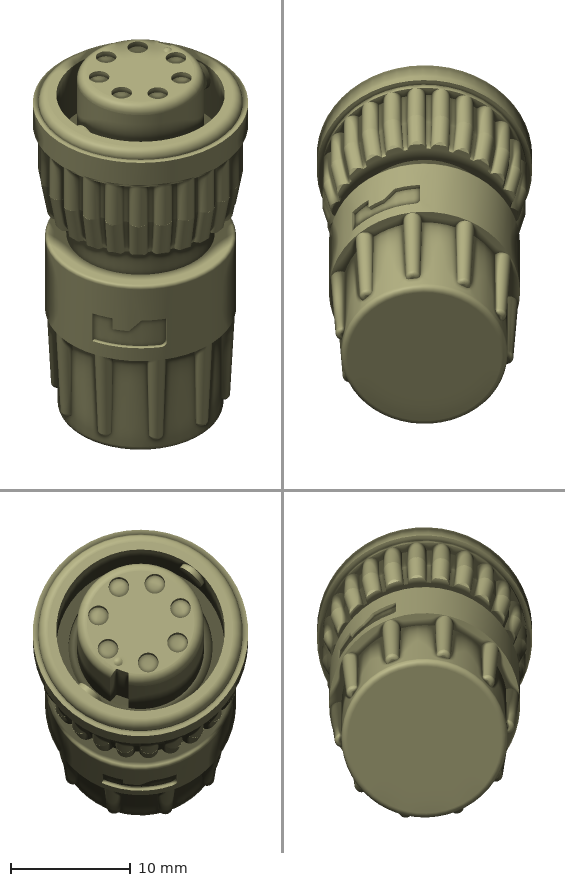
import cadquery as cq
import math


TAIL_RADIUS = 6.95
TAIL_EDGE_ROUND = 0.5
COLLAR_RADIUS = 8.0
COLLAR_BOTTOM = 9.9
COLLAR_TOP = 17.45
COLLAR_EDGE_ROUND = 0.3
NECK_RADIUS = 6.22

RIB_COUNT = 10
RIB_FIRST_ANGLE = -89.0
RIB_BOTTOM = 1.4
RIB_TOP_RADIUS = 0.79
RIB_BOTTOM_RADIUS = 0.6
RIB_TOP_REACH = 7.95
RIB_BOTTOM_REACH = 7.53
RIB_TIP_ROUND = 0.35

RECESS_COUNT = 2
RECESS_FLOOR_RADIUS = COLLAR_RADIUS - 0.35
RECESS_BOTTOM = 11.2
RECESS_TOP = 14.0
RECESS_TOOTH_BOTTOM = 12.9
RECESS_START_ANGLE = -4.2
TOOTH_START_ANGLE = 9.1
TOOTH_RAMP_ANGLE = 19.2
TOOTH_END_ANGLE = 26.8
RECESS_END_ANGLE = 42.3
RECESS_CORNER_ROUND = 0.5

NUT_BOTTOM = 20.5
NUT_TAPER_TOP = 23.85
NUT_FLUTE_TOP = 27.9
FLANGE_BOTTOM = 28.4
FLANGE_TOP = 30.65
FLANGE_RADIUS = 18.03 / 2
NUT_RADIUS = 8.56
NUT_BOTTOM_RADIUS = 7.95
NUT_BOTTOM_CHAMFER = 0.15
RIM_TOP = 31.45
RIM_ROUND = RIM_TOP - FLANGE_TOP
BORE_RADIUS = 7.05
BORE_FLOOR = 26.4

FLUTE_COUNT = 24
FLUTE_FIRST_ANGLE = -5.0
FLUTE_RADIUS = 0.8
FLUTE_CORE_RADIUS = 7.85
FLUTE_CORE_BOTTOM_RADIUS = 7.35

PIN_COUNT = 2
PIN_FIRST_ANGLE = 70.0
PIN_RADIUS = 1.2
PIN_INNER_REACH = 6.54
PIN_HEIGHT = 30.1

INSERT_RADIUS = 5.33
INSERT_TOP = 33.8
INSERT_EDGE_ROUND = 0.83
CONTACT_COUNT = 7
CONTACT_FIRST_ANGLE = 120.0
CONTACT_STEP_ANGLE = 50.0
CONTACT_CIRCLE_RADIUS = 3.57
CONTACT_RADIUS = 0.86
CONTACT_DEPTH = 0.5
KEYWAY_DEPTH_RADIUS = 4.5
KEYWAY_INNER_WIDTH = 1.05
KEYWAY_OUTER_WIDTH = 1.7
DOT_X = 0.6
DOT_Y = 3.87
DOT_RADIUS = 0.37
DOT_HEIGHT = 33.93 - INSERT_TOP

WELL_RADIUS = 6.03
WELL_FLOOR = BORE_FLOOR - 0.5
SEAL_CENTRE_RADIUS = 5.48
SEAL_SECTION_RADIUS = 0.6
SEAL_HEIGHT = WELL_FLOOR - 0.24
KEYWAY_FLOOR = WELL_FLOOR + 0.26

CUT_CLEARANCE = 1.0


def cylinder(radius, bottom, top):
    return cq.Workplane("XY").workplane(offset=bottom).circle(radius).extrude(top - bottom)


def turn(body, angle):
    """Turn a body about the Z axis."""
    return body.rotate((0, 0, 0), (0, 0, 1), angle)


def around(body, count, first_angle):
    """Copies of a body, evenly spaced about the Z axis."""
    step = 360 / count
    return [turn(body, first_angle + i * step).val() for i in range(count)]


def unite(body, shapes):
    return body.newObject([body.val().fuse(*shapes)])


def make_rib():
    """Cone leaning towards the axis at its rounded lower tip, on the +X side."""
    bottom_x = RIB_BOTTOM_REACH - RIB_BOTTOM_RADIUS
    top_x = RIB_TOP_REACH - RIB_TOP_RADIUS
    rib = (
        cq.Workplane("XY", origin=(-bottom_x, 0, RIB_BOTTOM))
        .circle(RIB_BOTTOM_RADIUS)
        .workplane(offset=COLLAR_BOTTOM - RIB_BOTTOM)
        .center(bottom_x - top_x, 0)
        .circle(RIB_TOP_RADIUS)
        .loft(ruled=True)
        .faces("<Z")
        .edges()
        .fillet(RIB_TIP_ROUND)
    )
    return turn(rib, 180)


def make_tail():
    tail = cylinder(TAIL_RADIUS, 0, COLLAR_BOTTOM).faces("<Z").edges().fillet(TAIL_EDGE_ROUND)
    return unite(tail, around(make_rib(), RIB_COUNT, RIB_FIRST_ANGLE))


def recess_outline(distance):
    """Corners of the recess on the plane y = -distance, so that its side walls run radially."""
    corners = [
        (RECESS_START_ANGLE, RECESS_BOTTOM),
        (RECESS_END_ANGLE, RECESS_BOTTOM),
        (RECESS_END_ANGLE, RECESS_TOP),
        (TOOTH_END_ANGLE, RECESS_TOP),
        (TOOTH_RAMP_ANGLE, RECESS_TOOTH_BOTTOM),
        (TOOTH_START_ANGLE, RECESS_TOOTH_BOTTOM),
        (TOOTH_START_ANGLE, RECESS_TOP),
        (RECESS_START_ANGLE, RECESS_TOP),
    ]
    return [(distance * math.tan(math.radians(angle)), z) for angle, z in corners]


def make_recess():
    near = RECESS_FLOOR_RADIUS * math.cos(math.radians(RECESS_END_ANGLE)) - CUT_CLEARANCE
    far = COLLAR_RADIUS + CUT_CLEARANCE
    middle = (near + far) / 2
    corner_x, corner_z = recess_outline(middle)[1]
    wedge = (
        cq.Workplane("XZ", origin=(0, -near, 0))
        .polyline(recess_outline(near))
        .close()
        .workplane(offset=far - near)
        .polyline(recess_outline(far))
        .close()
        .loft(ruled=True)
        .edges(cq.NearestToPointSelector((corner_x, -middle, corner_z)))
        .fillet(RECESS_CORNER_ROUND)
    )
    return wedge.cut(cylinder(RECESS_FLOOR_RADIUS, 0, COLLAR_TOP))


def make_collar():
    collar = cylinder(COLLAR_RADIUS, COLLAR_BOTTOM, COLLAR_TOP)
    collar = collar.faces(">Z").edges().fillet(COLLAR_EDGE_ROUND)
    for recess in around(make_recess(), RECESS_COUNT, 0):
        collar = collar.cut(cq.Workplane(recess))
    return collar.union(cylinder(NECK_RADIUS, COLLAR_TOP, NUT_BOTTOM))


def make_flute():
    """Round-backed flute on the +X side: upright above, leaning inward along the taper below."""
    crest_x = NUT_RADIUS - FLUTE_RADIUS
    lean = NUT_RADIUS - NUT_BOTTOM_RADIUS
    taper_height = NUT_TAPER_TOP - NUT_BOTTOM
    overrun = 0.5
    lean_axis = cq.Vector(-lean, 0, taper_height)
    foot_start = cq.Vector(lean - crest_x, 0, NUT_BOTTOM) - lean_axis * overrun
    foot_length = lean_axis.Length * (1 + 2 * overrun)
    foot = cq.Workplane(cq.Solid.makeCylinder(FLUTE_RADIUS, foot_length, foot_start, lean_axis))
    foot_limit = (
        cylinder(NUT_RADIUS, NUT_BOTTOM, NUT_TAPER_TOP)
        .faces("<Z")
        .edges()
        .chamfer(lean + NUT_BOTTOM_CHAMFER)
    )
    shank = cylinder(FLUTE_RADIUS, NUT_TAPER_TOP, NUT_FLUTE_TOP).translate((-crest_x, 0, 0))
    return turn(foot.intersect(foot_limit).union(shank), 180)


def make_fluted_grip():
    core = (
        cq.Workplane("XZ")
        .moveTo(0, NUT_BOTTOM)
        .lineTo(FLUTE_CORE_BOTTOM_RADIUS, NUT_BOTTOM)
        .lineTo(FLUTE_CORE_RADIUS, NUT_TAPER_TOP)
        .lineTo(FLUTE_CORE_RADIUS, NUT_FLUTE_TOP)
        .lineTo(0, NUT_FLUTE_TOP)
        .close()
        .revolve(360, (0, 0, 0), (0, 1, 0))
    )
    return unite(core, around(make_flute(), FLUTE_COUNT, FLUTE_FIRST_ANGLE))


def make_nut():
    rim = cylinder(NUT_RADIUS, NUT_FLUTE_TOP, RIM_TOP).faces(">Z").edges().fillet(RIM_ROUND)
    flange = cylinder(FLANGE_RADIUS, FLANGE_BOTTOM, FLANGE_TOP)
    nut = make_fluted_grip().union(rim).union(flange)
    nut = nut.cut(cylinder(BORE_RADIUS, BORE_FLOOR, RIM_TOP))
    nut = nut.cut(cylinder(WELL_RADIUS, WELL_FLOOR, BORE_FLOOR))
    wall_middle = (BORE_RADIUS + NUT_RADIUS) / 2
    pin = (
        cq.Workplane("YZ", origin=(PIN_INNER_REACH, 0, PIN_HEIGHT))
        .circle(PIN_RADIUS)
        .extrude(wall_middle - PIN_INNER_REACH)
    )
    return unite(nut, around(pin, PIN_COUNT, PIN_FIRST_ANGLE))


def make_keyway():
    """Slot down the +Y side of the insert, widening outward."""
    inner_half = KEYWAY_INNER_WIDTH / 2
    outer_half = KEYWAY_OUTER_WIDTH / 2
    return (
        cq.Workplane("XY", origin=(0, 0, KEYWAY_FLOOR))
        .polyline(
            [
                (-inner_half, KEYWAY_DEPTH_RADIUS),
                (inner_half, KEYWAY_DEPTH_RADIUS),
                (outer_half, INSERT_RADIUS),
                (-outer_half, INSERT_RADIUS),
            ]
        )
        .close()
        .extrude(INSERT_TOP - KEYWAY_FLOOR)
    )


def make_dot():
    """Shallow dome marking the key side of the insert."""
    sphere_radius = (DOT_RADIUS**2 + DOT_HEIGHT**2) / (2 * DOT_HEIGHT)
    centre_z = INSERT_TOP + DOT_HEIGHT - sphere_radius
    dome = (
        cq.Workplane("XY", origin=(0, 0, centre_z))
        .sphere(sphere_radius)
        .intersect(cylinder(DOT_RADIUS, INSERT_TOP - DOT_HEIGHT, INSERT_TOP + DOT_HEIGHT))
    )
    return dome.translate((DOT_X, DOT_Y, 0))


def make_insert():
    insert = cylinder(INSERT_RADIUS, WELL_FLOOR, INSERT_TOP)
    insert = insert.faces(">Z").edges().fillet(INSERT_EDGE_ROUND).cut(make_keyway())
    contact = cylinder(CONTACT_RADIUS, INSERT_TOP - CONTACT_DEPTH, INSERT_TOP)
    contact = contact.translate((CONTACT_CIRCLE_RADIUS, 0, 0))
    for i in range(CONTACT_COUNT):
        insert = insert.cut(turn(contact, CONTACT_FIRST_ANGLE + i * CONTACT_STEP_ANGLE))
    return insert.union(make_dot())


def make_seal():
    return (
        cq.Workplane("XZ")
        .center(SEAL_CENTRE_RADIUS, SEAL_HEIGHT)
        .circle(SEAL_SECTION_RADIUS)
        .revolve(360, (-SEAL_CENTRE_RADIUS, 0, 0), (-SEAL_CENTRE_RADIUS, 1, 0))
    )


result = make_tail().union(make_collar()).union(make_nut()).union(make_insert()).union(make_seal())